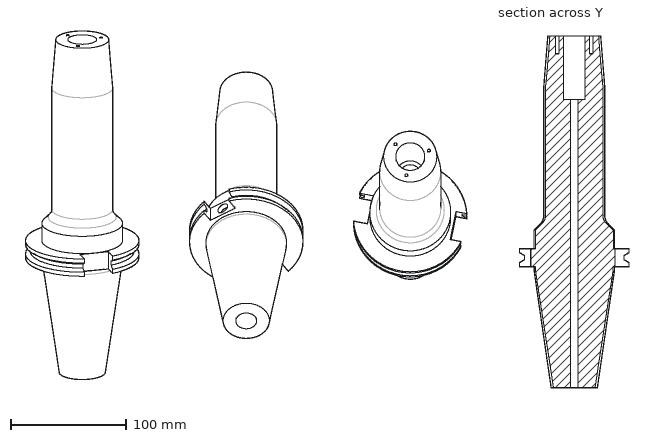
import cadquery as cq
import math

total_height = 304.8
gauge_height = 101.5
flange_bottom = 105.0
flange_height = 16.0
flange_top = flange_bottom + flange_height
hub_top = 136.5
nose_start = 260.5

gauge_radius = 34.9
taper_ratio = 7 / 24
shank_end_radius = gauge_radius - gauge_height * taper_ratio / 2
flange_radius = 49.23
hub_radius = 35.0
body_radius = 26.5
nose_radius = 23.0

groove_center = 112.8
groove_root_radius = 45.0
groove_root_half_width = 1.8
groove_flank_angle = math.radians(30)
groove_mouth_half_width = (
    groove_root_half_width
    + (flange_radius - groove_root_radius) * math.tan(groove_flank_angle)
)

neck_fillet = 10.0
fillet_angle = math.radians(45)
shoulder_radius = body_radius + neck_fillet * (1 - math.cos(fillet_angle))
shoulder_height = hub_top + (hub_radius - shoulder_radius) * math.tan(fillet_angle)
fillet_top = shoulder_height + neck_fillet * math.sin(fillet_angle)
fillet_mid = (
    body_radius + neck_fillet * (1 - math.cos(fillet_angle / 2)),
    fillet_top - neck_fillet * math.sin(fillet_angle / 2),
)

through_diameter = 18.0
clamp_diameter = 25.0
clamp_depth = 55.0

nose_hole_count = 3
nose_hole_diameter = 2.5
nose_hole_circle_radius = 17.0
nose_hole_depth = 15.2
first_hole_angle = 90.0

slot_width = 25.5
left_floor = 37.8
right_floor = 35.5
floor_hole_diameter = 9.8
floor_hole_depth = 4.5


def make_body():
    """Revolve the outer profile about the Z axis."""
    return (
        cq.Workplane("XZ")
        .moveTo(0, 0)
        .lineTo(shank_end_radius, 0)
        .lineTo(gauge_radius, gauge_height)
        .lineTo(gauge_radius, flange_bottom)
        .lineTo(flange_radius, flange_bottom)
        .lineTo(flange_radius, groove_center - groove_mouth_half_width)
        .lineTo(groove_root_radius, groove_center - groove_root_half_width)
        .lineTo(groove_root_radius, groove_center + groove_root_half_width)
        .lineTo(flange_radius, groove_center + groove_mouth_half_width)
        .lineTo(flange_radius, flange_top)
        .lineTo(hub_radius, flange_top)
        .lineTo(hub_radius, hub_top)
        .lineTo(shoulder_radius, shoulder_height)
        .threePointArc(fillet_mid, (body_radius, fillet_top))
        .lineTo(body_radius, nose_start)
        .lineTo(nose_radius, total_height)
        .lineTo(0, total_height)
        .close()
        .revolve(360, (0, 0, 0), (0, 1, 0))
    )


def make_slot(floor, side):
    """Cutter for one drive slot; side is -1 for -X and +1 for +X."""
    length = flange_radius - floor
    return (
        cq.Workplane("XY")
        .box(length, slot_width, flange_height)
        .translate((side * (floor + length / 2), 0, flange_bottom + flange_height / 2))
    )


def make_floor_hole():
    """Cutter for the blind hole in the floor of the -X slot."""
    return (
        cq.Workplane("YZ", origin=(-left_floor, 0, groove_center))
        .circle(floor_hole_diameter / 2)
        .extrude(floor_hole_depth)
    )


def make_bores():
    """Cutter for the through bore and the wider clamping bore at the nose."""
    through = cq.Workplane("XY").circle(through_diameter / 2).extrude(total_height)
    clamp = (
        cq.Workplane("XY", origin=(0, 0, total_height))
        .circle(clamp_diameter / 2)
        .extrude(-clamp_depth)
    )
    return through.union(clamp)


def make_nose_holes():
    """Cutter for the ring of small blind holes in the nose face."""
    return (
        cq.Workplane("XY", origin=(0, 0, total_height))
        .polarArray(nose_hole_circle_radius, first_hole_angle, 360, nose_hole_count)
        .circle(nose_hole_diameter / 2)
        .extrude(-nose_hole_depth)
    )


result = (
    make_body()
    .cut(make_slot(left_floor, -1))
    .cut(make_slot(right_floor, 1))
    .cut(make_floor_hole())
    .cut(make_bores())
    .cut(make_nose_holes())
)